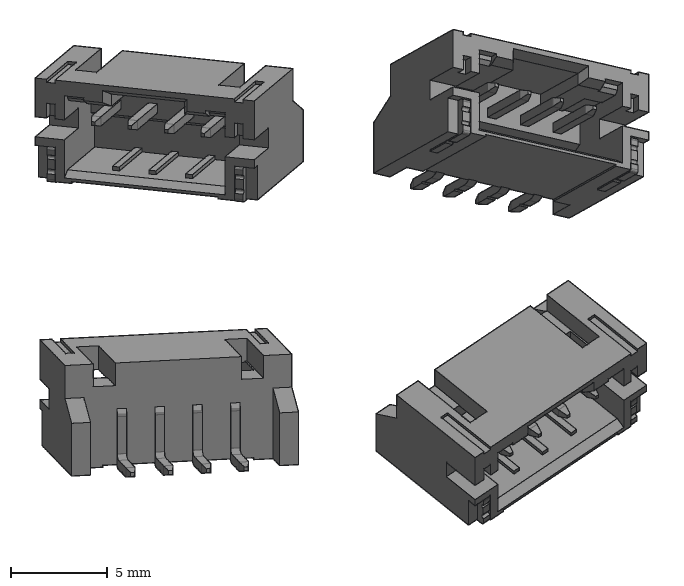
import cadquery as cq


HOUSING_WIDTH = 12.0
HOUSING_HEIGHT = 5.5
HOUSING_DEPTH = 6.0
WING_WIDTH = 1.0
WING_DEPTH = 7.6
WING_SLOPE_TOP = 3.75
WING_SLOPE_BOTTOM = 2.8
UNDERSIDE_RELIEF_WIDTH = 8.0
UNDERSIDE_RELIEF_HEIGHT = 0.1

CAVITY_WIDTH = 8.8
CAVITY_DEPTH = 4.1
CAVITY_FLOOR = 0.56
CAVITY_CEILING = 4.24
FLOOR_LEAD_LENGTH = 0.5
FLOOR_LEAD_DROP = 0.3
CEILING_LEAD_RISE = 0.31
CEILING_LEAD_LENGTH = 0.52
KEYWAY_WIDTH = 4.0
KEYWAY_TOP = 4.89
UNDERCUT_LOW = 2.31
UNDERCUT_RISE = 0.3
UNDERCUT_DEPTH = 0.6

RIB_COUNT = 3
RIB_WIDTH = 0.38
RIB_TOP = 0.77
RIB_START = 1.2

WINDOW_DEPTH = 2.2
WINDOW_BOTTOM = 2.32
WINDOW_TOP = 3.4

POCKET_OUTER_X = 4.5
POCKET_INNER_X = 3.34
POCKET_FRONT = 2.0
POCKET_FLOOR = 4.3
NOTCH_TOP = 4.7
HOOK_START = 0.5
HOOK_RAMP_DROP = 0.21

TAB_WIDTH = 0.46
TAB_CENTER_X = 5.14
TAB_INNER_X = TAB_CENTER_X - TAB_WIDTH / 2
TAB_OUTER_X = TAB_CENTER_X + TAB_WIDTH / 2
TAB_FRONT = 0.04
TAB_LENGTH = 3.2
TAB_HEIGHT = 1.86
TAB_THICKNESS = 0.5
TAB_CORNER_RADIUS = 0.17
TAB_GROOVE_RADIUS = 0.13
TAB_GROOVE_LOW = 0.51
TAB_GROOVE_HIGH = 1.27
TAB_PANEL_RECESS = 0.06
TAB_FOOT_GROOVE_Y = 1.59
TAB_FOOT_GROOVE_WIDTH = 0.32
TAB_FOOT_GROOVE_DEPTH = 0.08
TOP_SLOT_LENGTH = 3.3
TOP_SLOT_DEPTH = 0.17
JAW_SLOT_DEPTH = 0.5
JAW_SLOT_TOP = 4.19
CORNER_CUT_DEPTH = 0.5

PIN_COUNT = 4
PIN_PITCH = 2.0
PIN_SIZE = 0.5
PIN_TIP_SIZE = 0.2
PIN_TIP_LENGTH = 0.5
PIN_FRONT = 0.5
PIN_BACK = 8.6
PIN_HEIGHT = 3.2
SEAT_HEIGHT = -0.08
PIN_STEM_BACK = 6.11
PIN_BEND_RADIUS = 0.28
PIN_GROOVE_Y = 7.2
PIN_GROOVE_WIDTH = 0.24
PIN_GROOVE_DEPTH = 0.06


def box(x0, x1, y0, y1, z0, z1):
    """Axis-aligned block between two opposite corners."""
    return cq.Workplane("XY").box(x1 - x0, y1 - y0, z1 - z0, centered=False).translate((x0, y0, z0))


def prism(points, x0, x1):
    """Outline of (y, z) points extruded along X from x0 to x1."""
    return cq.Workplane("YZ").polyline(points).close().extrude(x1 - x0).translate((x0, 0, 0))


def cross_rod(y, z, radius, x0, x1):
    """Round rod along X, used to press grooves into metal parts."""
    return cq.Workplane("YZ").center(y, z).circle(radius).extrude(x1 - x0).translate((x0, 0, 0))


def foot_groove_cutter(y, width, depth, x0, x1):
    """Rod that leaves a shallow round groove of the given width and depth at seat level."""
    radius = (width**2 / 4 + depth**2) / (2 * depth)
    return cross_rod(y, SEAT_HEIGHT + depth - radius, radius, x0, x1)


def row_positions(count):
    """X positions of a centred row at pin pitch."""
    return [(i - (count - 1) / 2) * PIN_PITCH for i in range(count)]


def both_sides(solid):
    """The given right-hand solid together with its mirror image on the left."""
    return solid.union(solid.mirror("YZ"))


def make_shell():
    half = HOUSING_WIDTH / 2
    shell = box(-half, half, 0, HOUSING_DEPTH, 0, HOUSING_HEIGHT)
    wing_outline = [
        (0, 0),
        (WING_DEPTH, 0),
        (WING_DEPTH, WING_SLOPE_BOTTOM),
        (HOUSING_DEPTH, WING_SLOPE_TOP),
        (0, WING_SLOPE_TOP),
    ]
    shell = shell.union(both_sides(prism(wing_outline, half - WING_WIDTH, half)))
    relief_half = UNDERSIDE_RELIEF_WIDTH / 2
    return shell.cut(box(-relief_half, relief_half, 0, HOUSING_DEPTH, 0, UNDERSIDE_RELIEF_HEIGHT))


def make_cavity():
    half = CAVITY_WIDTH / 2
    outline = [
        (0, CAVITY_FLOOR - FLOOR_LEAD_DROP),
        (FLOOR_LEAD_LENGTH, CAVITY_FLOOR),
        (CAVITY_DEPTH + UNDERCUT_DEPTH, CAVITY_FLOOR),
        (CAVITY_DEPTH + UNDERCUT_DEPTH, UNDERCUT_LOW),
        (CAVITY_DEPTH, UNDERCUT_LOW + UNDERCUT_RISE),
        (CAVITY_DEPTH, CAVITY_CEILING),
        (CEILING_LEAD_LENGTH, CAVITY_CEILING),
        (0, CAVITY_CEILING + CEILING_LEAD_RISE),
    ]
    return prism(outline, -half, half).union(make_keyway())


def make_keyway():
    """Raised centre of the cavity ceiling, flared at the mouth."""
    half = KEYWAY_WIDTH / 2
    straight = box(-half, half, 0, CAVITY_DEPTH, CAVITY_CEILING, KEYWAY_TOP)
    mouth_width = KEYWAY_WIDTH + 2 * CEILING_LEAD_RISE
    mouth_top = KEYWAY_TOP + CEILING_LEAD_RISE
    flare = (
        cq.Workplane("XZ")
        .center(0, (CAVITY_CEILING + mouth_top) / 2)
        .rect(mouth_width, mouth_top - CAVITY_CEILING)
        .workplane(offset=-CEILING_LEAD_LENGTH)
        .center(0, -CEILING_LEAD_RISE / 2)
        .rect(KEYWAY_WIDTH, KEYWAY_TOP - CAVITY_CEILING)
        .loft(ruled=True)
    )
    return straight.union(flare)


def make_side_window():
    return box(CAVITY_WIDTH / 2, HOUSING_WIDTH / 2, 0, WINDOW_DEPTH, WINDOW_BOTTOM, WINDOW_TOP)


def make_latch_opening():
    """Pocket in the roof, its opening into the cavity, and the notch ahead of the hook."""
    cavity_half = CAVITY_WIDTH / 2
    pocket = box(
        POCKET_INNER_X, POCKET_OUTER_X, POCKET_FRONT, HOUSING_DEPTH, POCKET_FLOOR, HOUSING_HEIGHT
    )
    opening = box(
        POCKET_INNER_X, cavity_half, POCKET_FRONT, CAVITY_DEPTH, CAVITY_CEILING, HOUSING_HEIGHT
    )
    notch_outline = [
        (0, CAVITY_CEILING),
        (0, NOTCH_TOP),
        (HOOK_START, NOTCH_TOP),
        (HOOK_START, CAVITY_CEILING + HOOK_RAMP_DROP),
        (HOOK_START + HOOK_RAMP_DROP, CAVITY_CEILING),
    ]
    notch = prism(notch_outline, POCKET_INNER_X, cavity_half)
    return pocket.union(opening).union(notch)


def make_tab_clearance():
    """Top slot, upper-jaw slot and outer corner cut beside one solder tab."""
    top_slot = box(
        TAB_INNER_X, TAB_OUTER_X, 0, TOP_SLOT_LENGTH, HOUSING_HEIGHT - TOP_SLOT_DEPTH, HOUSING_HEIGHT
    )
    jaw_slot = box(TAB_INNER_X, TAB_OUTER_X, 0, JAW_SLOT_DEPTH, WINDOW_TOP, JAW_SLOT_TOP)
    corner = box(TAB_INNER_X, HOUSING_WIDTH / 2, 0, CORNER_CUT_DEPTH, 0, TAB_HEIGHT)
    return top_slot.union(jaw_slot).union(corner)


def make_ribs():
    ribs = cq.Workplane("XY")
    back = CAVITY_DEPTH + UNDERCUT_DEPTH
    for x in row_positions(RIB_COUNT):
        ribs = ribs.union(
            box(x - RIB_WIDTH / 2, x + RIB_WIDTH / 2, RIB_START, back, CAVITY_FLOOR, RIB_TOP)
        )
    return ribs


def make_tab():
    """L-shaped solder tab with rounded front edges and pressed grooves."""
    inner_y = TAB_FRONT + TAB_THICKNESS
    inner_z = SEAT_HEIGHT + TAB_THICKNESS
    outline = [
        (TAB_FRONT, SEAT_HEIGHT),
        (TAB_LENGTH, SEAT_HEIGHT),
        (TAB_LENGTH, inner_z),
        (inner_y, inner_z),
        (inner_y, TAB_HEIGHT),
        (TAB_FRONT, TAB_HEIGHT),
    ]
    tab = prism(outline, TAB_INNER_X, TAB_OUTER_X).faces("<Y").edges("|X").fillet(TAB_CORNER_RADIUS)
    panel_back = TAB_FRONT + TAB_PANEL_RECESS
    tab = tab.cut(box(TAB_INNER_X, TAB_OUTER_X, TAB_FRONT, panel_back, TAB_GROOVE_LOW, TAB_GROOVE_HIGH))
    for z in (TAB_GROOVE_LOW, TAB_GROOVE_HIGH):
        tab = tab.cut(cross_rod(TAB_FRONT, z, TAB_GROOVE_RADIUS, TAB_INNER_X, TAB_OUTER_X))
    foot_groove = foot_groove_cutter(
        TAB_FOOT_GROOVE_Y, TAB_FOOT_GROOVE_WIDTH, TAB_FOOT_GROOVE_DEPTH, TAB_INNER_X, TAB_OUTER_X
    )
    return tab.cut(foot_groove)


def make_pin_tip(base_y, tip_y, z):
    """Square taper from the full pin section to its blunt end."""
    return (
        cq.Workplane("XZ", origin=(0, base_y, z))
        .rect(PIN_SIZE, PIN_SIZE)
        .workplane(offset=base_y - tip_y)
        .rect(PIN_TIP_SIZE, PIN_TIP_SIZE)
        .loft(ruled=True)
    )


def make_pin():
    """Square pin: mating blade, bend, vertical stem, bend and solder foot."""
    half = PIN_SIZE / 2
    foot_z = SEAT_HEIGHT + half
    stem_y = PIN_STEM_BACK - half
    bend = PIN_BEND_RADIUS + half
    blade_base = PIN_FRONT + PIN_TIP_LENGTH
    foot_base = PIN_BACK - PIN_TIP_LENGTH
    path = (
        cq.Workplane("YZ")
        .moveTo(blade_base, PIN_HEIGHT)
        .lineTo(stem_y - bend, PIN_HEIGHT)
        .tangentArcPoint((stem_y, PIN_HEIGHT - bend), relative=False)
        .lineTo(stem_y, foot_z + bend)
        .tangentArcPoint((stem_y + bend, foot_z), relative=False)
        .lineTo(foot_base, foot_z)
    )
    bar = cq.Workplane("XZ", origin=(0, blade_base, PIN_HEIGHT)).rect(PIN_SIZE, PIN_SIZE).sweep(path)
    pin = bar.union(make_pin_tip(blade_base, PIN_FRONT, PIN_HEIGHT))
    pin = pin.union(make_pin_tip(foot_base, PIN_BACK, foot_z))
    return pin.cut(foot_groove_cutter(PIN_GROOVE_Y, PIN_GROOVE_WIDTH, PIN_GROOVE_DEPTH, -half, half))


def make_housing():
    housing = make_shell().cut(make_cavity())
    housing = housing.cut(both_sides(make_side_window()))
    housing = housing.cut(both_sides(make_latch_opening()))
    housing = housing.cut(both_sides(make_tab_clearance()))
    return housing.union(make_ribs())


def make_header():
    header = make_housing().union(both_sides(make_tab()))
    pin = make_pin()
    for x in row_positions(PIN_COUNT):
        header = header.union(pin.translate((x, 0, 0)))
    return header


result = make_header()